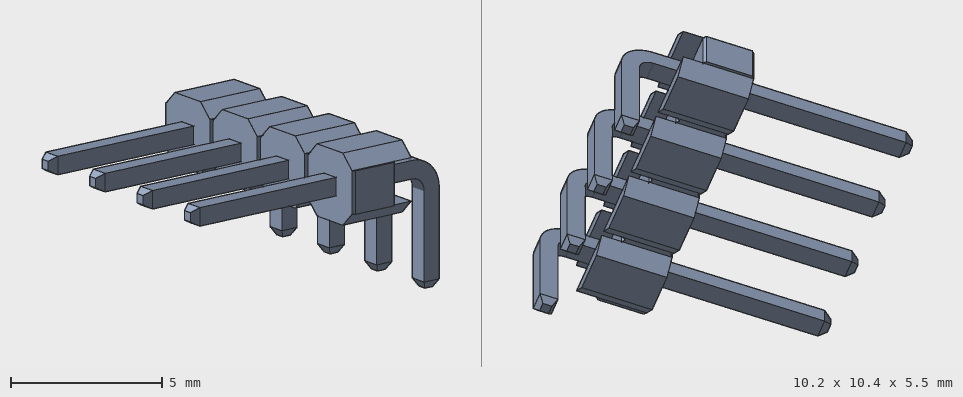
import cadquery as cq
import math


pin_count = 4
row_length = 10.16
pitch = row_length / pin_count

block_width = 2.37
block_height = 2.49
block_depth = 2.49
corner_chamfer = 0.5
slot_depth = 0.7
web_height = block_height - 2 * corner_chamfer
web_overhang = (pitch - block_width) / 2
front_y = -block_depth / 2
back_y = block_depth / 2
slot_floor_y = back_y - slot_depth

pin_size = 0.64
bend_inner_radius = 0.5
bend_outer_radius = bend_inner_radius + pin_size
tip_length = 0.28
tip_size = 0.32
pin_span_y = 10.35
leg_back_y = 3.1
total_height = 5.5
mating_end_y = leg_back_y - pin_span_y
solder_end_z = block_height / 2 - total_height

pin_positions = [(i - (pin_count - 1) / 2) * pitch for i in range(pin_count)]


def make_block(x):
    """Octagonal block around one pin."""
    return (
        cq.Workplane("XY")
        .box(block_width, block_depth, block_height)
        .edges("|Y")
        .chamfer(corner_chamfer)
        .translate((x, 0, 0))
    )


def make_web(x):
    """Web one pitch wide whose bevelled ends stand out from the block and meet the next web."""
    web_depth = slot_floor_y - front_y
    return (
        cq.Workplane("XY")
        .box(pitch, web_depth, web_height)
        .edges("|Z")
        .chamfer(web_overhang)
        .translate((x, (slot_floor_y + front_y) / 2, 0))
    )


def make_housing():
    """Strip of blocks joined by webs, slotted along the back, with a square hole for each pin."""
    slot = cq.Workplane("XY").box(row_length, slot_depth, web_height)
    slot = slot.translate((0, back_y - slot_depth / 2, 0))
    pin_hole = cq.Workplane("XY").box(pin_size, block_depth, pin_size)

    housing = make_block(pin_positions[0])
    for x in pin_positions[1:]:
        housing = housing.union(make_block(x))
    housing = housing.cut(slot)
    for x in pin_positions:
        housing = housing.union(make_web(x))
    for x in pin_positions:
        housing = housing.cut(pin_hole.translate((x, 0, 0)))
    return housing


def make_tip(end_plane):
    """Tapered tip that ends on the given plane and widens against the plane's normal."""
    return (
        cq.Workplane(end_plane)
        .rect(tip_size, tip_size)
        .workplane(offset=-tip_length)
        .rect(pin_size, pin_size)
        .loft(ruled=True)
    )


def make_pin(x):
    """Square wire bent through a right angle, tapered at both ends."""
    half = pin_size / 2
    leg_front_y = leg_back_y - pin_size
    bend_y = leg_back_y - bend_outer_radius
    bend_z = half - bend_outer_radius
    diagonal = math.sqrt(0.5)
    mating_shoulder_y = mating_end_y + tip_length
    solder_shoulder_z = solder_end_z + tip_length

    def bend_middle(radius):
        return (bend_y + radius * diagonal, bend_z + radius * diagonal)

    wire = (
        cq.Workplane("YZ")
        .moveTo(mating_shoulder_y, half)
        .lineTo(bend_y, half)
        .threePointArc(bend_middle(bend_outer_radius), (leg_back_y, bend_z))
        .lineTo(leg_back_y, solder_shoulder_z)
        .lineTo(leg_front_y, solder_shoulder_z)
        .lineTo(leg_front_y, bend_z)
        .threePointArc(bend_middle(bend_inner_radius), (bend_y, -half))
        .lineTo(mating_shoulder_y, -half)
        .close()
        .extrude(half, both=True)
    )
    leg_axis_y = leg_back_y - half
    mating_plane = cq.Plane(origin=(0, mating_end_y, 0), xDir=(1, 0, 0), normal=(0, -1, 0))
    solder_plane = cq.Plane(origin=(0, leg_axis_y, solder_end_z), xDir=(1, 0, 0), normal=(0, 0, -1))
    pin = wire.union(make_tip(mating_plane)).union(make_tip(solder_plane))
    return pin.translate((x, 0, 0))


housing = make_housing()
pins = [make_pin(x) for x in pin_positions]

result = cq.Compound.makeCompound([housing.solids().val(), *[pin.solids().val() for pin in pins]])